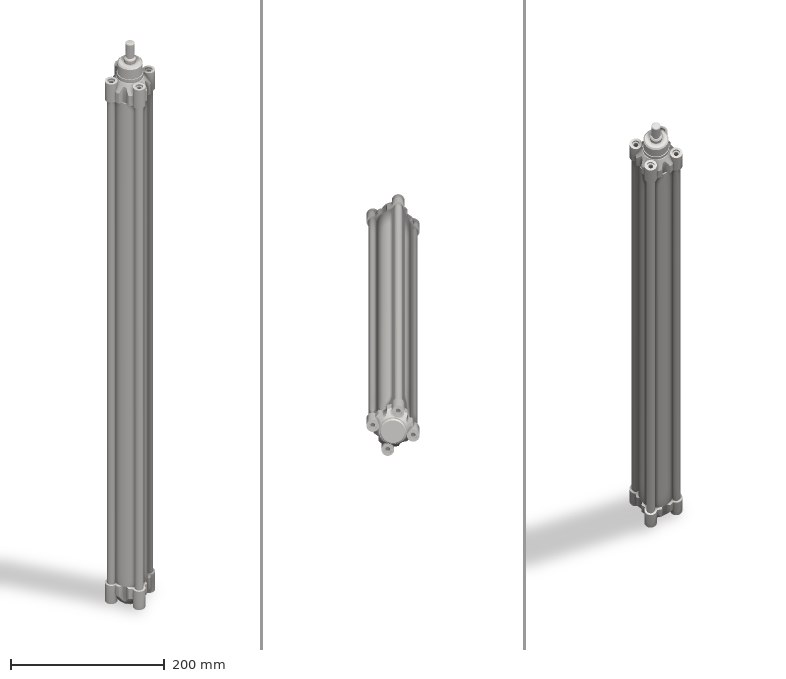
import cadquery as cq

total_length = 913.0
end_collar_height = 4.0
cap_length = 30.0
cap_top_z = 859.0
tube_bottom_z = end_collar_height + cap_length
tube_top_z = cap_top_z - cap_length
tube_length = tube_top_z - tube_bottom_z

cap_width = 55.0
tie_rod_offset = 19.0
cap_lobe_radius = cap_width / 2 - tie_rod_offset
tube_lobe_radius = 5.5
barrel_radius = 23.0
cap_core_radius = 26.5

cone_height = 14.0
cone_end_radius = 18.0
groove_half_width = 6.0
groove_floor_half_width = 2.0
groove_outer_y = 26.0
groove_floor_y = groove_outer_y - (groove_half_width - groove_floor_half_width)
screw_hole_diameter = 6.2
screw_hole_depth = 15.5
screw_recess_diameter = 10.0
screw_recess_depth = 3.0

collar_diameter = 35.0
collar_chamfer = 2.0
pilot_height = 5.5
neck_diameter = 33.0
neck_top_z = 882.0

rod_diameter = 15.5
rod_shoulder_z = 889.0
rod_chamfer = 2.0
relief_diameter = 10.0
relief_length = 3.0
thread_diameter = 12.0
thread_chamfer = 1.0


def disc(diameter, bottom_z, height):
    """A solid cylinder on the Z axis."""
    return cq.Workplane("XY").workplane(offset=bottom_z).circle(diameter / 2).extrude(height)


def at_tie_rods(bottom_z):
    """A workplane with one point on each of the four tie-rod axes."""
    pitch = 2 * tie_rod_offset
    return cq.Workplane("XY").workplane(offset=bottom_z).rect(pitch, pitch, forConstruction=True).vertices()


def side_groove():
    """The flat-bottomed V groove along the -Y side of a cap, open outwards."""
    opening = cap_width / 2 - groove_floor_y
    outer_half_width = groove_floor_half_width + opening
    return (
        cq.Workplane("XY")
        .polyline([
            (-groove_floor_half_width, -groove_floor_y),
            (groove_floor_half_width, -groove_floor_y),
            (outer_half_width, -cap_width / 2),
            (-outer_half_width, -cap_width / 2),
        ])
        .close()
        .extrude(cap_length)
    )


def end_cap():
    """A cap with its inner face at Z = 0 and its outer face at Z = cap_length."""
    core_height = cap_length - cone_height
    core = disc(2 * cap_core_radius, 0, core_height)
    cone = (
        core.faces(">Z").workplane().circle(cap_core_radius)
        .workplane(offset=cone_height).circle(cone_end_radius).loft(combine=False)
    )
    cap = core.union(cone)
    for turn in range(4):
        cap = cap.cut(side_groove().rotate((0, 0, 0), (0, 0, 1), 90 * turn))
    cap = cap.union(at_tie_rods(0).circle(cap_lobe_radius).extrude(cap_length))
    holes = at_tie_rods(cap_length).circle(screw_hole_diameter / 2).extrude(-screw_hole_depth)
    recesses = at_tie_rods(cap_length).circle(screw_recess_diameter / 2).extrude(-screw_recess_depth)
    return cap.cut(holes).cut(recesses)


def make_housing():
    """Tube, both end caps and their collars, with a socket for the rod."""
    tube = disc(2 * barrel_radius, tube_bottom_z, tube_length)
    tube = tube.union(at_tie_rods(tube_bottom_z).circle(tube_lobe_radius).extrude(tube_length))
    top_cap = end_cap().translate((0, 0, tube_top_z))
    bottom_cap = end_cap().mirror("XY").translate((0, 0, tube_bottom_z))
    end_collar = disc(collar_diameter, 0, end_collar_height).faces("<Z").chamfer(collar_chamfer)
    neck_height = neck_top_z - cap_top_z
    pilot = disc(collar_diameter, cap_top_z, pilot_height)
    neck = disc(neck_diameter, cap_top_z, neck_height).faces(">Z").chamfer(collar_chamfer)
    rod_socket = disc(rod_diameter, cap_top_z, neck_height)
    body = tube.union(top_cap).union(bottom_cap).union(end_collar).union(pilot).union(neck)
    return body.cut(rod_socket)


def make_rod():
    """Piston rod with a thread relief and a threaded end."""
    shank = disc(rod_diameter, cap_top_z, rod_shoulder_z - cap_top_z).faces(">Z").chamfer(rod_chamfer)
    relief = disc(relief_diameter, rod_shoulder_z, relief_length)
    thread_bottom_z = rod_shoulder_z + relief_length
    thread = disc(thread_diameter, thread_bottom_z, total_length - thread_bottom_z)
    thread = thread.faces(">Z").chamfer(thread_chamfer)
    return shank.union(relief).union(thread)


housing = make_housing()
rod = make_rod()

result = cq.Compound.makeCompound([housing.val(), rod.val()])